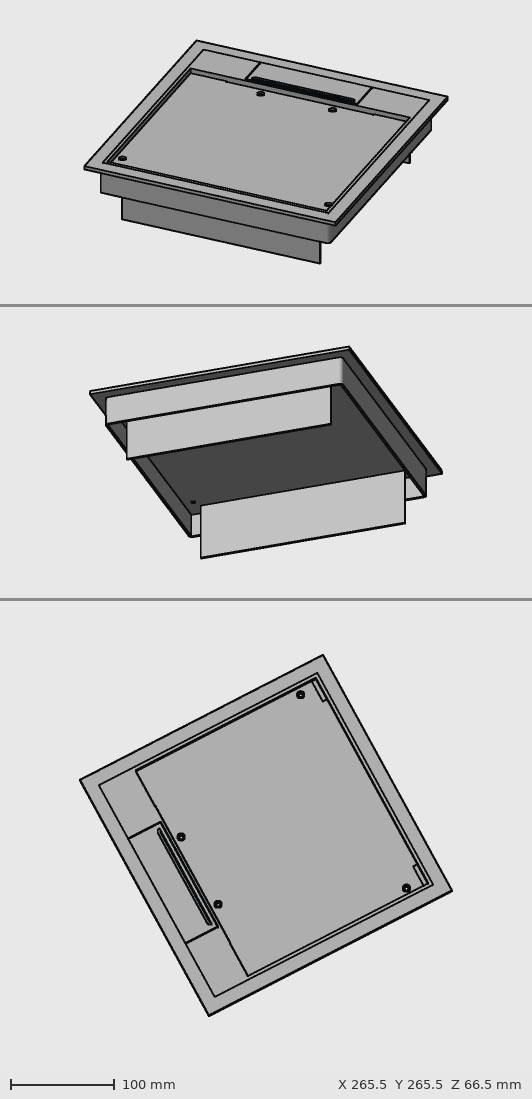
import cadquery as cq
import math

SIZE = 265.5
HEIGHT = 66.5
SKIRT_BOTTOM = 33.7

FLANGE_THICKNESS = 3.7
FLANGE_DRAFT = 2.0
SKIRT_SIZE = 243.0
SKIRT_CORNER_RADIUS = 3.5
OPENING_SIZE = 238.5

RIM_WIDTH = 3.5
TRAY_DEPTH = 5.3
FLOOR_THICKNESS = 4.0
TRAY_REAR = 81.0
HINGE_LENGTH = 22.8
HINGE_WIDTH = 4.5
HINGE_DEPTH = 1.0
SEAM_LENGTH = 155.0
SEAM_WIDTH = 1.0
SCREW_HOLE_DIAMETER = 3.7
COUNTERBORE_DIAMETER = 7.2
COUNTERBORE_DEPTH = 2.5
REAR_SCREW_X = 38.0
REAR_SCREW_Y = 72.5
FRONT_SCREW_X = 109.0
FRONT_SCREW_Y = -95.5

FLAP_WIDTH = 117.0
FLAP_FRONT = 84.2
FLAP_GAP = 0.8
GROOVE_LENGTH = 108.0
GROOVE_FRONT = 87.6
GROOVE_REAR = 91.0
GROOVE_DEPTH = 2.0
GROOVE_RAMP = 2.5
LEDGE_DROP = 0.5

PLATE_LENGTH = 209.0
PLATE_THICKNESS = 2.0
PLATE_OUTER_Y = 106.8

HALF_OPENING = OPENING_SIZE / 2
TRAY_HALF_WIDTH = HALF_OPENING - RIM_WIDTH
TRAY_FRONT = -TRAY_HALF_WIDTH
FLOOR_TOP = HEIGHT - TRAY_DEPTH
LID_BOTTOM = FLOOR_TOP - FLOOR_THICKNESS


def block(x_range, y_range, z_range):
    """Box spanning the given (low, high) ranges."""
    lows, highs = zip(x_range, y_range, z_range)
    size = [high - low for low, high in zip(lows, highs)]
    return cq.Workplane("XY").box(*size, centered=False).translate(lows)


def centred_block(length, y_range, z_range):
    """Box of the given X length, centred on the YZ plane."""
    return block((-length / 2, length / 2), y_range, z_range)


def make_frame():
    flange = cq.Workplane("XY", origin=(0, 0, HEIGHT - FLANGE_THICKNESS)).rect(SIZE, SIZE)
    flange = flange.extrude(FLANGE_THICKNESS, taper=FLANGE_DRAFT)
    skirt = centred_block(SKIRT_SIZE, (-SKIRT_SIZE / 2, SKIRT_SIZE / 2), (SKIRT_BOTTOM, HEIGHT))
    skirt = skirt.edges("|Z").fillet(SKIRT_CORNER_RADIUS)
    opening = centred_block(OPENING_SIZE, (-HALF_OPENING, HALF_OPENING), (SKIRT_BOTTOM, HEIGHT))
    return flange.union(skirt).cut(opening)


def make_lid():
    lid = centred_block(OPENING_SIZE, (-HALF_OPENING, HALF_OPENING), (LID_BOTTOM, HEIGHT))
    tray = centred_block(2 * TRAY_HALF_WIDTH, (TRAY_FRONT, TRAY_REAR), (FLOOR_TOP, HEIGHT))
    flap_notch = centred_block(
        FLAP_WIDTH + 2 * FLAP_GAP, (FLAP_FRONT - FLAP_GAP, HALF_OPENING), (LID_BOTTOM, HEIGHT)
    )
    seam = centred_block(SEAM_LENGTH, (TRAY_REAR - SEAM_WIDTH, TRAY_REAR), (LID_BOTTOM, FLOOR_TOP))
    lid = lid.cut(tray).cut(flap_notch).cut(seam)

    for x_range in (
        (-TRAY_HALF_WIDTH, -TRAY_HALF_WIDTH + HINGE_LENGTH),
        (TRAY_HALF_WIDTH - HINGE_LENGTH, TRAY_HALF_WIDTH),
    ):
        hinge_recess = block(
            x_range, (TRAY_FRONT, TRAY_FRONT + HINGE_WIDTH), (FLOOR_TOP - HINGE_DEPTH, FLOOR_TOP)
        )
        lid = lid.cut(hinge_recess)

    screw_points = [
        (side * x, y)
        for x, y in ((REAR_SCREW_X, REAR_SCREW_Y), (FRONT_SCREW_X, FRONT_SCREW_Y))
        for side in (-1, 1)
    ]
    return (
        lid.copyWorkplane(cq.Workplane("XY", origin=(0, 0, FLOOR_TOP)))
        .pushPoints(screw_points)
        .cboreHole(SCREW_HOLE_DIAMETER, COUNTERBORE_DIAMETER, COUNTERBORE_DEPTH, depth=FLOOR_THICKNESS)
    )


def make_stadium(height, taper):
    """Stadium rising from the groove's floor, narrowing upwards by the taper angle."""
    outline = cq.Workplane("XY", origin=(0, GROOVE_FRONT, HEIGHT - GROOVE_DEPTH))
    outline = outline.slot2D(GROOVE_LENGTH, 2 * (GROOVE_REAR - GROOVE_FRONT))
    return outline.extrude(height, taper=taper)


def make_flap():
    flap = centred_block(FLAP_WIDTH, (FLAP_FRONT, HALF_OPENING), (LID_BOTTOM, HEIGHT))

    rise = GROOVE_DEPTH - LEDGE_DROP
    ramp_angle = math.degrees(math.atan2(GROOVE_RAMP, rise))
    mound = make_stadium(rise, ramp_angle)
    rear_half = centred_block(GROOVE_LENGTH, (GROOVE_FRONT, GROOVE_REAR), (HEIGHT - GROOVE_DEPTH, HEIGHT))
    groove = make_stadium(GROOVE_DEPTH, 0).cut(mound).intersect(rear_half)
    return flap.cut(groove)


def make_support_plate(side):
    """Upright plate hanging from the lid; side is -1 for the front, +1 for the rear."""
    near, far = sorted((side * PLATE_OUTER_Y, side * (PLATE_OUTER_Y - PLATE_THICKNESS)))
    return centred_block(PLATE_LENGTH, (near, far), (0, LID_BOTTOM))


frame = make_frame()
lid = make_lid()
flap = make_flap()
support_plates = [make_support_plate(side) for side in (-1, 1)]

result = cq.Compound.makeCompound(
    [frame.val(), lid.val(), flap.val(), *(plate.val() for plate in support_plates)]
)